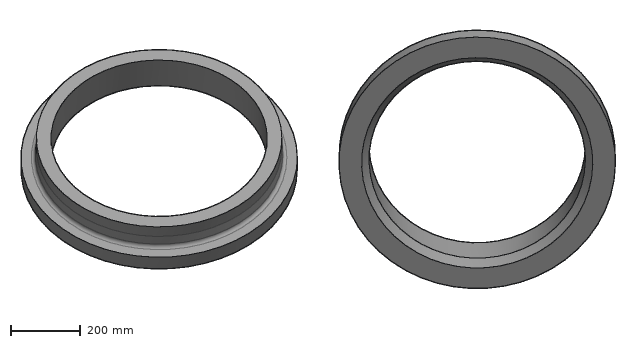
import cadquery as cq

flange_diameter = 800.0
flange_height = 50.0
bore_diameter = 626.0
bore_chamfer = 22.0

total_height = 130.0
collar_diameter = 710.0
collar_height = 40.0
hub_base_diameter = 717.0
fillet_radius = 11.0

flange_radius = flange_diameter / 2
bore_radius = bore_diameter / 2
collar_radius = collar_diameter / 2
hub_base_radius = hub_base_diameter / 2
taper_top = total_height - collar_height
fillet_top = flange_height + fillet_radius

blend_middle = (
    hub_base_radius + fillet_radius * (1 - 0.5**0.5),
    flange_height + fillet_radius * (1 - 0.5**0.5),
)
section = (
    cq.Workplane("XZ")
    .moveTo(bore_radius + bore_chamfer, 0)
    .lineTo(flange_radius, 0)
    .lineTo(flange_radius, flange_height)
    .lineTo(hub_base_radius + fillet_radius, flange_height)
    .threePointArc(blend_middle, (hub_base_radius, fillet_top))
    .lineTo(collar_radius, taper_top)
    .lineTo(collar_radius, total_height)
    .lineTo(bore_radius, total_height)
    .lineTo(bore_radius, bore_chamfer)
    .close()
)

result = section.revolve(360, (0, 0, 0), (0, 1, 0))